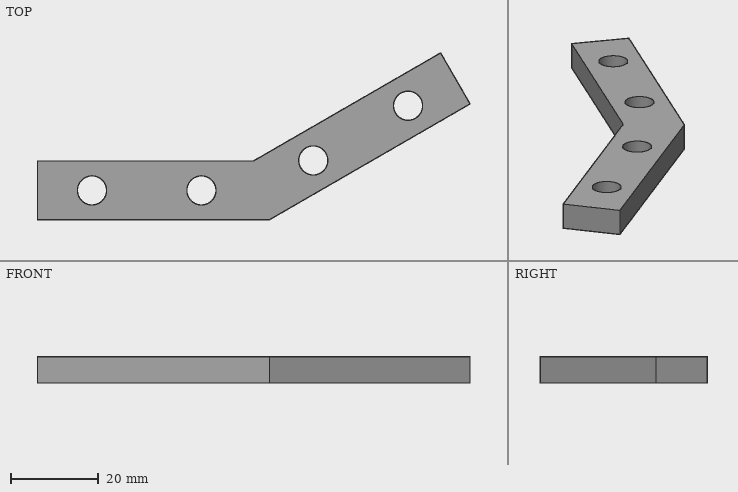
import cadquery as cq
import math

bend_angle = 30.0
arm_length = 53.0
arm_width = 13.5
thickness = 6.0
hole_diameter = 6.6
hole_end_distances = (12.5, 37.5)

bend = math.radians(bend_angle)
along = (math.cos(bend), math.sin(bend))
across = (-math.sin(bend), math.cos(bend))

inner_length = arm_length - arm_width * math.tan(bend / 2)


def angled_arm_point(distance, offset):
    """Point on the angled arm: distance from the outer bend corner, offset from the outer edge."""
    x = arm_length + distance * along[0] + offset * across[0]
    y = distance * along[1] + offset * across[1]
    return (x, y)


def make_plate():
    """Flat bar with one bend, the straight arm running along X from the origin."""
    outline = [
        (0, 0),
        (arm_length, 0),
        angled_arm_point(arm_length, 0),
        angled_arm_point(arm_length, arm_width),
        (inner_length, arm_width),
        (0, arm_width),
    ]
    return cq.Workplane("XY").polyline(outline).close().extrude(thickness)


def hole_centres():
    """Holes on the centreline of both arms, at equal distances from the free ends."""
    centreline = arm_width / 2
    centres = []
    for end_distance in hole_end_distances:
        centres.append((end_distance, centreline))
        centres.append(angled_arm_point(arm_length - end_distance, centreline))
    return centres


def make_holes():
    """Cylinders that cut the through holes."""
    return cq.Workplane("XY").pushPoints(hole_centres()).circle(hole_diameter / 2).extrude(thickness)


result = make_plate().cut(make_holes())